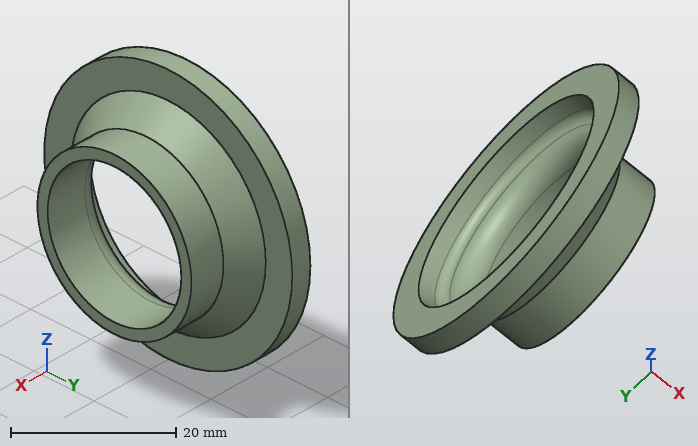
import cadquery as cq
import math

total_length = 12.7
flange_thickness = 3.22
cone_end = 7.05

flange_radius = 41.3 / 2
cone_base_radius = 16.25
neck_radius = 25.65 / 2

bore_radius = 22.2 / 2
seat_mouth_radius = 16.02
seat_depth = 3.25
seat_taper = math.radians(15)
corner_radius = 1.53
lip_radius = 2.95

seat_bottom_radius = bore_radius + lip_radius
corner_center_x = seat_depth - corner_radius
lip_center_x = seat_depth + lip_radius
diagonal = math.sqrt(0.5)


def corner_point(angle):
    """Point on the hollow corner arc, with the angle measured from the radial direction."""
    return (
        corner_center_x + corner_radius * math.sin(angle),
        seat_bottom_radius + corner_radius * math.cos(angle),
    )


corner_start = corner_point(seat_taper)
corner_middle = corner_point((seat_taper + math.pi / 2) / 2)
lip_middle = (
    lip_center_x - lip_radius * diagonal,
    seat_bottom_radius - lip_radius * diagonal,
)

half_section = (
    cq.Workplane("XY")
    .moveTo(0, seat_mouth_radius)
    .lineTo(0, flange_radius)
    .lineTo(flange_thickness, flange_radius)
    .lineTo(flange_thickness, cone_base_radius)
    .lineTo(cone_end, neck_radius)
    .lineTo(total_length, neck_radius)
    .lineTo(total_length, bore_radius)
    .lineTo(lip_center_x, bore_radius)
    .threePointArc(lip_middle, (seat_depth, seat_bottom_radius))
    .threePointArc(corner_middle, corner_start)
    .close()
)

result = half_section.revolve(360, (0, 0, 0), (1, 0, 0))